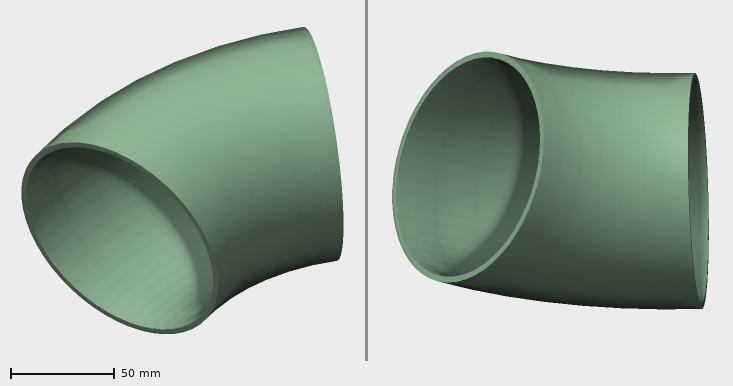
import cadquery as cq

outer_diameter = 114.3
wall = 2.9
bend_radius = 152.5
bend_angle = 45

outer_radius = outer_diameter / 2
inner_radius = outer_radius - wall


def pipe_elbow():
    """Annular section on the XZ plane, swept toward +Y about a vertical axis at X = bend_radius."""
    section = cq.Workplane("XZ").circle(outer_radius).circle(inner_radius)
    axis_start = (bend_radius, 0)
    axis_end = (bend_radius, -1)
    return section.revolve(bend_angle, axis_start, axis_end)


result = pipe_elbow()